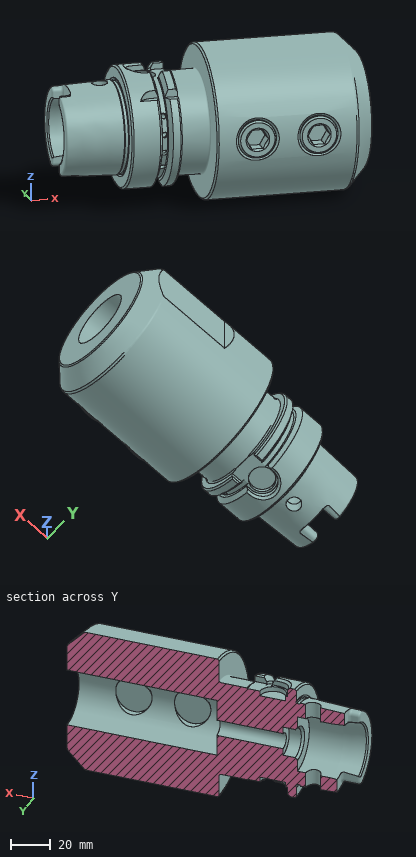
import cadquery as cq
import math

OVERALL_LENGTH = 157.0
FLANGE_FACE_X = 31.9
FLANGE_END_X = 58.1
BODY_START_X = 74.0

TAPER_END_R = 23.1
TAPER_BIG_R = 24.2
UNDERCUT_R = 23.5
FLANGE_R = 31.5
NECK_R = 26.7
BODY_DIAMETER_TO_LENGTH = 80 / 157
BODY_R = OVERALL_LENGTH * BODY_DIAMETER_TO_LENGTH / 2

TAPER_END_FILLET = 1.1
FLANGE_CHAMFER = 1.0
BODY_EDGE_CHAMFER = 1.0
NECK_FILLET = 0.8

UNDERCUT_START_X = 29.7
UNDERCUT_RAMP = 0.6
FACE_RELIEF_R = 25.1
FACE_RELIEF_DEPTH = 0.3

GROOVE_X = 50.0
GROOVE_R = 27.2
GROOVE_TOP_HALF = 3.3
GROOVE_WALL_HALF = 1.5
GROOVE_FLOOR_HALF = 1.4
GROOVE_WALL_R = 28.5

NOSE_CORNER_X = 147.3
NOSE_BLEND_R = 1.7
NOSE_EDGE_CHAMFER = 0.5

FLAT_Y = 36.6
FLAT_START_X = 105.2

HOLLOW_R = 16.6
HOLLOW_INNER_R = 15.5
HOLLOW_ENTRY_CHAMFER = 0.8
HOLLOW_CONE_END_X = 12.5
HOLLOW_FLOOR_X = 31.4
COOLANT_SEAT_R = 8.0
COOLANT_SEAT_CHAMFER = 1.3
COOLANT_SEAT_DEPTH = 7.8
COOLANT_HOLE_R = 4.2

TOOL_BORE_R = 15.7
TOOL_BORE_DEPTH = 81.6
SCREW_R = 9.9
SCREW_XS = (95.0, 127.0)
SCREW_END_CHAMFER = 1.0
SCREW_FACE_Y = -BODY_R
SCREW_SINK = 1.3
HEX_FLATS = 9.9
HEX_DEPTH = 7.8
HEX_CHAMFER_R = 6.1

END_SLOT_HALF = 6.3
END_SLOT_DEPTHS = {1: 5.8, -1: 9.9}
END_SLOT_CORNER = 1.4
END_SLOT_FLARE_R = 2.4
END_SLOT_FLARE_Z = 18.5

CROSS_HOLE_X = 23.0
CROSS_HOLE_R = 4.0

KEYWAY_X = 44.9
KEYWAY_HALF = 8.0
KEYWAY_FLOOR_Z = 26.4
KEYWAY_END_X = 58.5
KEYWAY_FRONT_CHAMFER = 1.4
KEYWAY_RING_CHAMFER = 1.0
KEY_RECESS_R = 6.9
KEY_RECESS_DEPTH = 2.7

NOTCH_Y = -20.5
NOTCH_Z = 20.0

GROOVE_HOLE_R = 1.4
GROOVE_HOLE_DEPTH = 1.9
GROOVE_HOLE_FIRST = 25.0
GROOVE_HOLE_STEP = -20.4
GROOVE_HOLE_COUNT = 4

PICK_MARGIN = 0.2


def revolve_about_x(profile):
    return profile.close().revolve(360, (0, 0, 0), (1, 0, 0))


def cylinder_z(x, radius, z_start, z_end):
    return cq.Workplane("XY", (x, 0, z_start)).circle(radius).extrude(z_end - z_start)


def make_outside():
    """Turned outside of the holder, without flat, keyways or holes."""
    nose_blend = NOSE_BLEND_R * math.tan(math.radians(22.5))
    diagonal = nose_blend * math.sqrt(0.5)
    blend_mid = NOSE_BLEND_R * math.sin(math.radians(22.5))
    blend_drop = NOSE_BLEND_R * (1 - math.cos(math.radians(22.5)))
    nose_r = BODY_R - (OVERALL_LENGTH - NOSE_CORNER_X)
    neck_in = NECK_FILLET * (1 - math.sqrt(0.5))
    profile = (
        cq.Workplane("XZ")
        .lineTo(0, TAPER_END_R)
        .lineTo(UNDERCUT_START_X, TAPER_BIG_R)
        .lineTo(UNDERCUT_START_X + UNDERCUT_RAMP, UNDERCUT_R)
        .lineTo(FLANGE_FACE_X, UNDERCUT_R)
        .lineTo(FLANGE_FACE_X + FACE_RELIEF_DEPTH, UNDERCUT_R + UNDERCUT_RAMP)
        .lineTo(FLANGE_FACE_X, FACE_RELIEF_R)
        .lineTo(FLANGE_FACE_X, FLANGE_R - FLANGE_CHAMFER)
        .lineTo(FLANGE_FACE_X + FLANGE_CHAMFER, FLANGE_R)
        .lineTo(GROOVE_X - GROOVE_TOP_HALF, FLANGE_R)
        .lineTo(GROOVE_X - GROOVE_WALL_HALF, GROOVE_WALL_R)
        .lineTo(GROOVE_X - GROOVE_FLOOR_HALF, GROOVE_R)
        .lineTo(GROOVE_X + GROOVE_FLOOR_HALF, GROOVE_R)
        .lineTo(GROOVE_X + GROOVE_WALL_HALF, GROOVE_WALL_R)
        .lineTo(GROOVE_X + GROOVE_TOP_HALF, FLANGE_R)
        .lineTo(FLANGE_END_X - FLANGE_CHAMFER, FLANGE_R)
        .lineTo(FLANGE_END_X, FLANGE_R - FLANGE_CHAMFER)
        .lineTo(FLANGE_END_X, NECK_R + NECK_FILLET)
        .threePointArc((FLANGE_END_X + neck_in, NECK_R + neck_in), (FLANGE_END_X + NECK_FILLET, NECK_R))
        .lineTo(BODY_START_X - NECK_FILLET, NECK_R)
        .threePointArc((BODY_START_X - neck_in, NECK_R + neck_in), (BODY_START_X, NECK_R + NECK_FILLET))
        .lineTo(BODY_START_X, BODY_R - BODY_EDGE_CHAMFER)
        .lineTo(BODY_START_X + BODY_EDGE_CHAMFER, BODY_R)
        .lineTo(NOSE_CORNER_X - nose_blend, BODY_R)
        .threePointArc(
            (NOSE_CORNER_X - nose_blend + blend_mid, BODY_R - blend_drop),
            (NOSE_CORNER_X + diagonal, BODY_R - diagonal),
        )
        .lineTo(OVERALL_LENGTH - NOSE_EDGE_CHAMFER, nose_r + NOSE_EDGE_CHAMFER)
        .lineTo(OVERALL_LENGTH, nose_r - NOSE_EDGE_CHAMFER)
        .lineTo(OVERALL_LENGTH, 0)
    )
    return revolve_about_x(profile)


def make_inside():
    """Turned cavity: hollow shank, coolant seat and hole, tool bore."""
    seat_end_x = HOLLOW_FLOOR_X + COOLANT_SEAT_DEPTH
    bore_start_x = OVERALL_LENGTH - TOOL_BORE_DEPTH
    profile = (
        cq.Workplane("XZ")
        .lineTo(0, HOLLOW_R + HOLLOW_ENTRY_CHAMFER)
        .lineTo(HOLLOW_ENTRY_CHAMFER, HOLLOW_R)
        .lineTo(HOLLOW_CONE_END_X, HOLLOW_INNER_R)
        .lineTo(HOLLOW_FLOOR_X, HOLLOW_INNER_R)
        .lineTo(HOLLOW_FLOOR_X, COOLANT_SEAT_R + COOLANT_SEAT_CHAMFER)
        .lineTo(HOLLOW_FLOOR_X + COOLANT_SEAT_CHAMFER, COOLANT_SEAT_R)
        .lineTo(seat_end_x, COOLANT_SEAT_R)
        .lineTo(seat_end_x, COOLANT_HOLE_R)
        .lineTo(bore_start_x, COOLANT_HOLE_R)
        .lineTo(bore_start_x, TOOL_BORE_R)
        .lineTo(OVERALL_LENGTH, TOOL_BORE_R)
        .lineTo(OVERALL_LENGTH, 0)
    )
    return revolve_about_x(profile)


def make_back_flat():
    """Material removed behind the flat, with a 45 degree run-out."""
    rise = 2 * (BODY_R - FLAT_Y)
    return (
        cq.Workplane("XY", (0, 0, -BODY_R))
        .moveTo(FLAT_START_X, FLAT_Y)
        .lineTo(OVERALL_LENGTH, FLAT_Y)
        .lineTo(OVERALL_LENGTH, FLAT_Y + rise)
        .lineTo(FLAT_START_X - rise, FLAT_Y + rise)
        .close()
        .extrude(2 * BODY_R)
    )


def cut_keyway(holder, side):
    """Round-ended keyway in the flange with chamfered edges; side is +1 (top) or -1 (bottom)."""
    length = KEYWAY_END_X - KEYWAY_X
    height = side * (FLANGE_R - KEYWAY_FLOOR_Z)
    base = cq.Workplane("XY", (KEYWAY_X, 0, side * KEYWAY_FLOOR_Z))
    cutter = base.circle(KEYWAY_HALF).extrude(height)
    cutter = cutter.union(base.center(length / 2, 0).rect(length, 2 * KEYWAY_HALF).extrude(height))
    holder = holder.cut(cutter)

    edge_z = math.sqrt(FLANGE_R**2 - KEYWAY_HALF**2)
    middle_z = side * (edge_z + FLANGE_R) / 2
    reach = 1.2 * (FLANGE_R - edge_z)
    half_width = KEYWAY_HALF + 2 * PICK_MARGIN

    def edges_between(x_start, x_end):
        box = cq.selectors.BoxSelector(
            (x_start, -half_width, middle_z - reach),
            (x_end, half_width, middle_z + reach),
            boundingbox=True,
        )
        return holder.edges(box)

    holder = edges_between(KEYWAY_X - half_width, GROOVE_X - GROOVE_TOP_HALF + PICK_MARGIN).chamfer(
        KEYWAY_FRONT_CHAMFER
    )
    ring_start_x = GROOVE_X + GROOVE_TOP_HALF - PICK_MARGIN
    ring_end_x = FLANGE_END_X - FLANGE_CHAMFER + PICK_MARGIN
    holder = edges_between(ring_start_x, ring_end_x).chamfer(KEYWAY_RING_CHAMFER)
    recess_z = KEYWAY_FLOOR_Z - KEY_RECESS_DEPTH
    return holder.cut(cylinder_z(KEYWAY_X, KEY_RECESS_R, side * recess_z, side * FLANGE_R))


def make_end_slot(side, depth):
    """Drive slot across the shank end, flared at the outside; side is +1 (top) or -1 (bottom)."""
    flare_mid = END_SLOT_FLARE_R * math.sqrt(0.5)
    flare_y = END_SLOT_HALF + END_SLOT_FLARE_R
    flare_top_z = END_SLOT_FLARE_Z + END_SLOT_FLARE_R
    slot = (
        cq.Workplane("YZ")
        .lineTo(END_SLOT_HALF, 0)
        .lineTo(END_SLOT_HALF, END_SLOT_FLARE_Z)
        .threePointArc((flare_y - flare_mid, END_SLOT_FLARE_Z + flare_mid), (flare_y, flare_top_z))
        .lineTo(TAPER_BIG_R, flare_top_z)
        .lineTo(TAPER_BIG_R, FLANGE_R)
        .lineTo(0, FLANGE_R)
        .close()
        .extrude(depth)
    )
    slot = slot.union(slot.mirror("XZ"))
    walls_and_flares = cq.selectors.BoxSelector(
        (depth - PICK_MARGIN, -flare_y - PICK_MARGIN, PICK_MARGIN),
        (depth + PICK_MARGIN, flare_y + PICK_MARGIN, flare_top_z + PICK_MARGIN),
        boundingbox=True,
    )
    slot = slot.edges(walls_and_flares).fillet(END_SLOT_CORNER)
    return slot if side > 0 else slot.mirror("XY")


def round_shank_end(holder):
    """Round the outer and slot edges of the end face, leaving the bore chamfer alone."""
    bore_rim_r = HOLLOW_R + HOLLOW_ENTRY_CHAMFER
    rim_edges = [
        edge
        for edge in holder.faces("<X").edges().vals()
        if math.hypot(edge.positionAt(0.5).y, edge.positionAt(0.5).z) > bore_rim_r + PICK_MARGIN
    ]
    return holder.newObject(rim_edges).fillet(TAPER_END_FILLET)


def make_notch():
    """V-shaped orientation notch whose end wall is rounded like the keyways."""
    width = 2 * KEYWAY_HALF
    length = KEYWAY_END_X - KEYWAY_X
    base = cq.Workplane("XY", (KEYWAY_X, NOTCH_Y - KEYWAY_HALF, NOTCH_Z))
    straight = base.center(length / 2, 0).rect(length, width).extrude(FLANGE_R)
    return base.circle(KEYWAY_HALF).extrude(FLANGE_R).union(straight)


def make_groove_hole(angle):
    """Radial hole with a conical bottom, entering the groove floor from the -Y side."""
    bottom_r = GROOVE_R - GROOVE_HOLE_DEPTH
    hole = (
        cq.Workplane("XY", (GROOVE_X, 0, 0))
        .moveTo(0, -bottom_r + GROOVE_HOLE_R)
        .lineTo(GROOVE_HOLE_R, -bottom_r)
        .lineTo(GROOVE_HOLE_R, -GROOVE_R)
        .lineTo(0, -GROOVE_R)
        .close()
        .revolve(360, (0, 0, 0), (0, 1, 0))
    )
    return hole.rotate((0, 0, 0), (1, 0, 0), -angle)


def cut_screw_hole(holder, x):
    """Screw hole from the tool bore outwards, with a chamfered mouth."""
    hole = cq.Workplane("XZ", (x, 0, 0)).circle(SCREW_R).extrude(BODY_R)
    holder = holder.cut(hole)
    reach = SCREW_R + PICK_MARGIN
    mouth = cq.selectors.BoxSelector(
        (x - reach, -BODY_R - PICK_MARGIN, -reach),
        (x + reach, -0.9 * BODY_R, reach),
        boundingbox=True,
    )
    return holder.edges(mouth).chamfer(SCREW_SINK)


def make_screw(x):
    """Clamping screw with a chamfered outer end and a hexagon socket."""
    inner_y = -TOOL_BORE_R
    screw = (
        cq.Workplane("XY", (x, inner_y, 0))
        .lineTo(SCREW_R, 0)
        .lineTo(SCREW_R, SCREW_FACE_Y + SCREW_END_CHAMFER - inner_y)
        .lineTo(SCREW_R - SCREW_END_CHAMFER, SCREW_FACE_Y - inner_y)
        .lineTo(0, SCREW_FACE_Y - inner_y)
        .close()
        .revolve(360, (0, 0, 0), (0, 1, 0))
    )
    socket = (
        cq.Workplane("XZ", (x, SCREW_FACE_Y, 0))
        .polygon(6, HEX_FLATS / math.cos(math.pi / 6))
        .extrude(-HEX_DEPTH)
    )
    lead_depth = HEX_CHAMFER_R - HEX_FLATS / 2
    lead_in = (
        cq.Workplane("XY", (x, SCREW_FACE_Y, 0))
        .lineTo(HEX_CHAMFER_R, 0)
        .lineTo(HEX_FLATS / 2, lead_depth)
        .lineTo(0, lead_depth)
        .close()
        .revolve(360, (0, 0, 0), (0, 1, 0))
    )
    return screw.cut(socket).cut(lead_in)


def make_holder():
    """Tool holder with all its cuts."""
    holder = make_outside()
    for side in (1, -1):
        holder = cut_keyway(holder, side)
    holder = holder.cut(make_inside())
    for side, depth in END_SLOT_DEPTHS.items():
        holder = holder.cut(make_end_slot(side, depth))
    holder = round_shank_end(holder)
    holder = holder.cut(cylinder_z(CROSS_HOLE_X, CROSS_HOLE_R, -FLANGE_R, FLANGE_R))
    holder = holder.cut(make_back_flat()).cut(make_notch())
    for index in range(GROOVE_HOLE_COUNT):
        holder = holder.cut(make_groove_hole(GROOVE_HOLE_FIRST + index * GROOVE_HOLE_STEP))
    for x in SCREW_XS:
        holder = cut_screw_hole(holder, x)
    return holder


holder = make_holder()
screws = [make_screw(x) for x in SCREW_XS]

result = cq.Compound.makeCompound([holder.val(), *[screw.val() for screw in screws]])